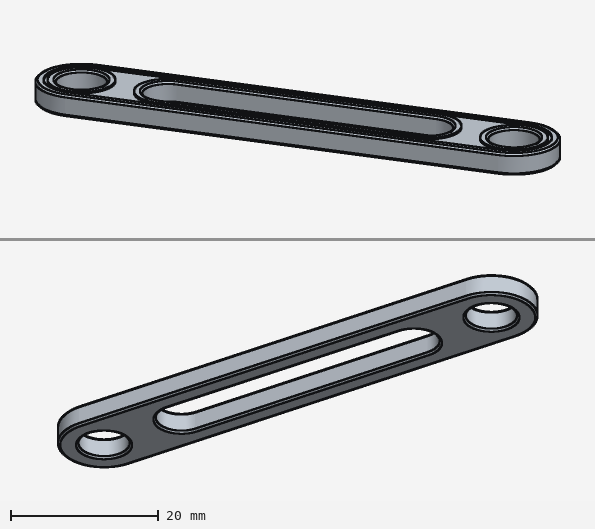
import cadquery as cq

length = 75.0
width = 12.5
thickness = 3.15

bore_diameter = 7.0
bore_spacing = length - width
slot_length = 44.5

rim_width = 1.1
collar_width = 1.1
recess_depth = 0.2
edge_chamfer = 0.315

bore_centres = [(-bore_spacing / 2, 0), (bore_spacing / 2, 0)]
bottom = -thickness / 2
recess_floor = thickness / 2 - recess_depth


def stadium(long_side, short_side, start, height):
    """Round-ended bar along X."""
    return cq.Workplane("XY").workplane(offset=start).slot2D(long_side, short_side).extrude(height)


def discs(diameter, start, height):
    """One disc at each bore centre."""
    return (
        cq.Workplane("XY").workplane(offset=start)
        .pushPoints(bore_centres).circle(diameter / 2).extrude(height)
    )


def openings(margin, start, height):
    """Both bores and the slot, enlarged all round by a margin."""
    slot = stadium(slot_length + 2 * margin, bore_diameter + 2 * margin, start, height)
    return slot.union(discs(bore_diameter + 2 * margin, start, height))


plate = stadium(length, width, bottom, thickness).cut(openings(0, bottom, thickness))

plate = plate.faces("<Z or >Z").edges().chamfer(edge_chamfer)

recess = stadium(length - 2 * rim_width, width - 2 * rim_width, recess_floor, recess_depth)
recess = recess.cut(openings(collar_width, recess_floor, recess_depth))

result = plate.cut(recess)